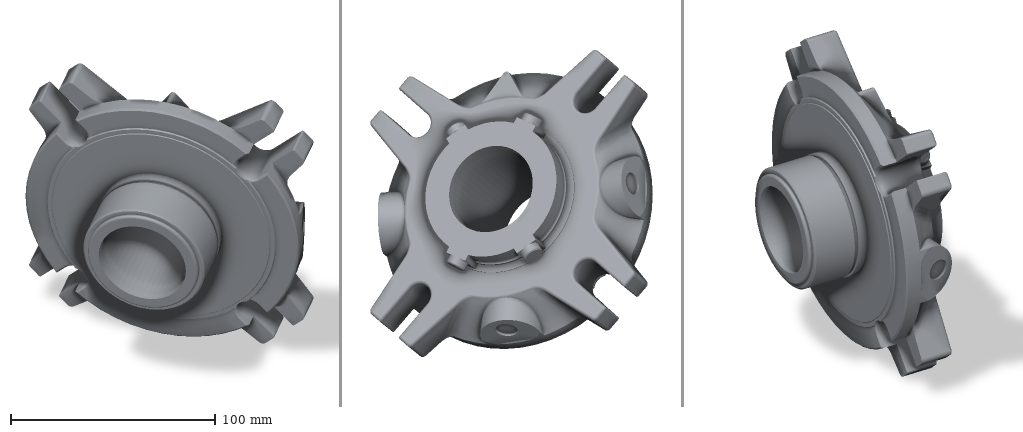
import cadquery as cq
import math


bore_d = 44.5
flange_d = 140.0
flange_front_y = -8.2
flange_chamfer = 0.8
pad_d = 117.2
pad_front_y = -8.9
pad_chamfer = 0.4
face_d = 111.7
face_inner_d = 111.2
face_front_y = -9.3
collar_step_d = 63.0
collar_step_y = -14.1
groove_d = 60.5
hub_d = 62.1
hub_start_y = -15.6
hub_end_y = -38.3
hub_start_chamfer = 0.4
hub_chamfer = 0.8
lip_d = 56.4
lip_end_y = -40.2
lip_round = 1.3

back_y = 17.2
cone_top_r = 51.4
base_d = 77.5
base_y = 17.6

plate_step_d = 69.3
plate_d = 70.9
plate_start_y = 18.9
plate_end_y = 20.0
neck_d = 47.6
ring_d = 69.7
ring_start_y = 21.8
ring_end_y = 30.7

lug_angles = (45, 135, 225, 315)
lug_tip_r = 85.1
lug_inner_r = 28.2
lug_tip_half_width = 15.5
flank_angle = 8.5
lug_outer_round = 2.3
lug_slot_side_round = 0.8
lug_edge_round = 1.4
root_round = 4.6
slot_width = 13.4
slot_mouth_chamfer = 1.0
slot_center_r = 63.4

boss_r = 15.5
boss_center_y = 4.6
boss_tilt = 13
boss_face_r = 68.3
boss_length = 33.8
port_d = 11.0
port_y = 11.1
port_depth = 1.4
rib_nose_d = 3.1
rib_nose_r = 67.6
rib_base_r = 47.9
rib_half_angle = 31
rib_side_reach = 14.1
rib_root_round = 1.4
rib_nose_top_y = 11.4

clip_angles = (30, 150, 210, 330)
clip_width = 11.5
clip_inner_r = 34.2
clip_outer_r = 37.6
head_d = 10.0
head_y = 26.0
head_top_r = 41.7
head_chamfer = 0.5


def turned(points):
    """Revolve a closed (radius, Y) outline about the Y axis."""
    return cq.Workplane("XY").polyline(points).close().revolve(360, (0, 0, 0), (0, 1, 0))


def disc(diameter, start_y, end_y):
    return cq.Workplane("XZ", origin=(0, start_y, 0)).circle(diameter / 2).extrude(start_y - end_y)


def about_axis(shape, angle):
    """Turn a shape built on the +Z side about the part axis."""
    return shape.rotate((0, 0, 0), (0, 1, 0), angle)


def axis_distance(edge):
    center = edge.Center()
    return math.hypot(center.x, center.z)


def lug_block():
    """Flaring block for one pair of lugs, on the +Z side, before its slot is cut."""
    inner_half_width = lug_tip_half_width + (lug_tip_r - lug_inner_r) * math.tan(math.radians(flank_angle))
    block = (
        cq.Workplane("XZ")
        .polyline([
            (-inner_half_width, lug_inner_r),
            (-lug_tip_half_width, lug_tip_r),
            (lug_tip_half_width, lug_tip_r),
            (inner_half_width, lug_inner_r),
        ])
        .close()
        .extrude(-back_y)
    )
    return block.edges("|Y and >Z").fillet(lug_outer_round)


def slot_cutter(width, start_y, end_y, taper=0):
    """Round-ended prism along Y, reaching past the lug tips on the +Z side."""
    half = width / 2
    return (
        cq.Workplane("XZ", origin=(0, start_y, 0))
        .moveTo(-half, lug_tip_r + width)
        .lineTo(-half, slot_center_r)
        .threePointArc((0, slot_center_r - half), (half, slot_center_r))
        .lineTo(half, lug_tip_r + width)
        .close()
        .extrude(start_y - end_y, taper=taper)
    )


def slot():
    """Through slot with a chamfered front mouth."""
    through = slot_cutter(slot_width, face_front_y, base_y)
    mouth_width = slot_width + 2 * slot_mouth_chamfer
    mouth = slot_cutter(mouth_width, flange_front_y, flange_front_y + slot_mouth_chamfer, 45)
    return through.union(mouth)


def port_boss():
    """Round-topped boss on the +Z side, tilted so that its outer face looks slightly back."""
    outline = (
        cq.Workplane("XY", origin=(0, 0, boss_face_r - boss_length))
        .moveTo(-boss_r, -boss_r)
        .lineTo(-boss_r, boss_center_y)
        .threePointArc((0, boss_center_y + boss_r), (boss_r, boss_center_y))
        .lineTo(boss_r, -boss_r)
        .close()
    )
    boss = outline.extrude(boss_length)
    port = cq.Workplane("XY", origin=(0, port_y, boss_face_r - port_depth)).circle(port_d / 2).extrude(2 * port_depth)
    boss = boss.cut(port)
    boss = boss.rotate((0, boss_center_y, boss_face_r), (1, boss_center_y, boss_face_r), -boss_tilt)
    return boss.intersect(disc(flange_d, 0, ring_end_y))


def pointed_rib():
    """Wedge pointing outwards with a round nose; its top slopes down towards the nose."""
    nose_r = rib_nose_d / 2
    half_angle = math.radians(rib_half_angle)
    tangent_x = nose_r * math.cos(half_angle)
    tangent_r = rib_nose_r - nose_r + nose_r * math.sin(half_angle)
    base_half_width = tangent_x + (tangent_r - rib_base_r) * math.tan(half_angle)
    wedge = (
        cq.Workplane("XZ")
        .moveTo(-base_half_width, rib_base_r)
        .lineTo(-tangent_x, tangent_r)
        .threePointArc((0, rib_nose_r), (tangent_x, tangent_r))
        .lineTo(base_half_width, rib_base_r)
        .close()
        .extrude(-back_y)
    )
    above_top = (
        cq.Workplane("YZ", origin=(-rib_side_reach, 0, 0))
        .polyline([(back_y, rib_base_r), (rib_nose_top_y, rib_nose_r), (back_y, rib_nose_r)])
        .close()
        .extrude(2 * rib_side_reach)
    )
    return wedge.cut(above_top)


def clip():
    """Flat clip on the +Z side that ties the clamp ring to the gland, with its screw head."""
    strap = cq.Workplane("XY").box(
        clip_width, ring_end_y - base_y, clip_outer_r - clip_inner_r, centered=(True, False, False)
    ).translate((0, base_y, clip_inner_r))
    head = (
        cq.Workplane("XY", origin=(0, head_y, clip_outer_r))
        .circle(head_d / 2)
        .extrude(head_top_r - clip_outer_r)
        .faces(">Z")
        .chamfer(head_chamfer)
    )
    return strap.union(head)


cone = turned([(0, 0), (flange_d / 2, 0), (cone_top_r, back_y), (0, back_y)])
body = cone
for lug_angle in lug_angles:
    body = body.union(about_axis(lug_block(), lug_angle))
body = body.edges("%HYPERBOLA").fillet(root_round)

body = body.union(pointed_rib())
rib_root_zone = cq.selectors.BoxSelector(
    (-rib_side_reach, 0.1, rib_base_r), (rib_side_reach, back_y, rib_nose_r)
)
rib_root = body.edges(rib_root_zone).edges("%HYPERBOLA or %BSPLINE")
body = rib_root.fillet(rib_root_round)

for lug_angle in lug_angles:
    body = body.cut(about_axis(slot(), lug_angle))
slot_corner_r = math.hypot(lug_tip_r, slot_width / 2)
body = body.newObject([edge for edge in body.edges("|Y").vals() if abs(axis_distance(edge) - slot_corner_r) < 0.01])
body = body.fillet(lug_slot_side_round)
body = body.faces(">Y").edges().fillet(lug_edge_round)

front = turned([
    (0, 0),
    (flange_d / 2, 0),
    (flange_d / 2, flange_front_y + flange_chamfer),
    (flange_d / 2 - flange_chamfer, flange_front_y),
    (pad_d / 2, flange_front_y),
    (pad_d / 2 - pad_chamfer, pad_front_y),
    (face_d / 2, pad_front_y),
    (face_inner_d / 2, face_front_y),
    (0, face_front_y),
])
for lug_angle in lug_angles:
    front = front.cut(about_axis(slot(), lug_angle))
hub = turned([
    (0, 0),
    (collar_step_d / 2, 0),
    (collar_step_d / 2, collar_step_y),
    (groove_d / 2, collar_step_y),
    (groove_d / 2, hub_start_y),
    (hub_d / 2 - hub_start_chamfer, hub_start_y),
    (hub_d / 2, hub_start_y - hub_start_chamfer),
    (hub_d / 2, hub_end_y + hub_chamfer),
    (hub_d / 2 - hub_chamfer, hub_end_y),
    (lip_d / 2, hub_end_y),
    (lip_d / 2, lip_end_y),
    (0, lip_end_y),
])
hub = hub.faces("<Y").edges().fillet(lip_round)
body = body.union(front).union(hub)

for boss_angle in (90, 180, 270):
    body = body.union(about_axis(port_boss(), boss_angle))

body = body.union(disc(base_d, 0, base_y))
body = body.union(disc(plate_step_d, 0, plate_start_y))
body = body.union(disc(plate_d, plate_start_y, plate_end_y))
body = body.union(disc(neck_d, 0, ring_end_y))
body = body.union(disc(ring_d, ring_start_y, ring_end_y))
for clip_angle in clip_angles:
    body = body.union(about_axis(clip(), clip_angle))

result = body.cut(disc(bore_d, lip_end_y - 1.4, ring_end_y + 1.4))